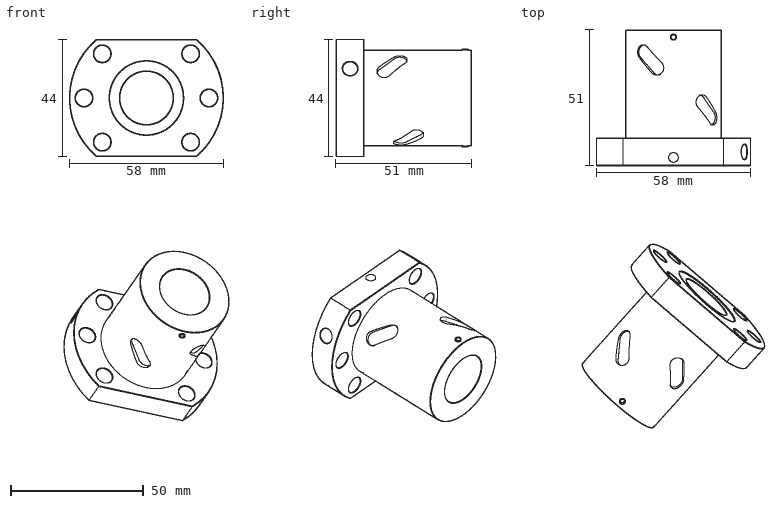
import cadquery as cq
import math


flange_diameter = 58.0
flange_height = 44.0
flange_thickness = 10.5
edge_chamfer = 0.205

total_length = 51.0
barrel_diameter = 36.0
bore_diameter = 20.0
recess_diameter = 27.7
recess_depth = 0.35

bolt_hole_diameter = 6.4
bolt_circle_radius = 23.5
bolt_angles = (-45, 0, 45, 135, 180, 225)

oil_port_diameter = 5.55
oil_port_angle = 22.5
oil_port_y = flange_thickness / 2
flat_port_diameter = 3.65
flat_port_depth = 5.8
flat_port_y = 3.15

slot_width = 5.5
slot_length = 13.75
slot_slant = 45.0
slot_floor_radius = 16.3
slot_angles = (120, 225, 300, 43.5)
first_slot_from_end = 11.2
slot_pitch = 6.25

pin_diameter = 2.25
pin_socket_diameter = 1.8
pin_socket_depth = 2.3
pin_length = 4.65
pin_projection = 0.45
pin_from_end = 2.6
pin_directions = (1, -1)

barrel_radius = barrel_diameter / 2
pin_y = total_length - pin_from_end
pin_top = barrel_radius + pin_projection
pin_bottom = pin_top - pin_length


def rod(diameter, start_y, end_y):
    """Cylinder on the axis of the nut."""
    base = cq.Vector(0, start_y, 0)
    return cq.Workplane(cq.Solid.makeCylinder(diameter / 2, end_y - start_y, base, cq.Vector(0, 1, 0)))


def countersunk_rod(diameter, start_y, end_y):
    """Cutter for a hole along Y with a chamfered rim at both ends."""
    cutter = rod(diameter, start_y, end_y)
    rim_radius = diameter / 2 + edge_chamfer
    for rim_y, inward in ((start_y, 1), (end_y, -1)):
        cone = cq.Solid.makeCone(
            rim_radius, diameter / 2, edge_chamfer, cq.Vector(0, rim_y, 0), cq.Vector(0, inward, 0)
        )
        cutter = cutter.union(cq.Workplane(cone))
    return cutter


def radial_plane(angle, y, radius):
    """Plane facing away from the axis, with its local x direction along the axis."""
    outward = cq.Vector(math.cos(math.radians(angle)), 0, math.sin(math.radians(angle)))
    return cq.Plane(origin=outward * radius + cq.Vector(0, y, 0), xDir=(0, 1, 0), normal=outward)


def make_blank():
    flats = cq.Workplane("XY").box(
        flange_diameter, flange_thickness, flange_height, centered=(True, False, True)
    )
    flange = rod(flange_diameter, 0, flange_thickness).intersect(flats)
    flange = flange.faces("<Y or >Y").chamfer(edge_chamfer)
    barrel = rod(barrel_diameter, 0, total_length).faces(">Y").chamfer(edge_chamfer)
    return flange.union(barrel)


def cut_bore(body):
    recess = rod(recess_diameter, 0, recess_depth)
    rim = cq.Solid.makeCone(
        recess_diameter / 2 + edge_chamfer, recess_diameter / 2, edge_chamfer,
        cq.Vector(0, 0, 0), cq.Vector(0, 1, 0),
    )
    bore = countersunk_rod(bore_diameter, recess_depth, total_length)
    return body.cut(recess).cut(cq.Workplane(rim)).cut(bore)


def cut_bolt_holes(body):
    cutter = countersunk_rod(bolt_hole_diameter, 0, flange_thickness)
    for angle in bolt_angles:
        x = bolt_circle_radius * math.cos(math.radians(angle))
        z = bolt_circle_radius * math.sin(math.radians(angle))
        body = body.cut(cutter.translate((x, 0, z)))
    return body


def cut_oil_ports(body):
    side_port = cq.Workplane(radial_plane(oil_port_angle, oil_port_y, 0)).circle(oil_port_diameter / 2)
    body = body.cut(side_port.extrude(flange_diameter))
    mouth = radial_plane(oil_port_angle, oil_port_y, flange_diameter / 2).origin.toTuple()
    body = body.edges(cq.selectors.NearestToPointSelector(mouth)).chamfer(edge_chamfer)
    flat_port = cq.Workplane(radial_plane(90, flat_port_y, flange_height / 2)).circle(flat_port_diameter / 2)
    return body.cut(flat_port.extrude(-flat_port_depth))


def cut_return_slots(body):
    for step, angle in enumerate(slot_angles):
        slot_y = total_length - first_slot_from_end - step * slot_pitch
        floor = radial_plane(angle, slot_y, slot_floor_radius)
        slot = cq.Workplane(floor).slot2D(slot_length, slot_width, slot_slant)
        body = body.cut(slot.extrude(barrel_radius))
    return body


def pin_cylinder(direction, diameter, bottom):
    """Vertical cylinder reaching from the given height out to the pin tip."""
    base = cq.Vector(0, pin_y, direction * bottom)
    return cq.Workplane(
        cq.Solid.makeCylinder(diameter / 2, pin_top - bottom, base, cq.Vector(0, 0, direction))
    )


def make_pin(direction):
    outside = pin_cylinder(direction, pin_diameter, pin_bottom)
    socket = pin_cylinder(direction, pin_socket_diameter, pin_top - pin_socket_depth)
    return outside.cut(socket)


def make_nut():
    body = cut_return_slots(cut_oil_ports(cut_bolt_holes(cut_bore(make_blank()))))
    for direction in pin_directions:
        body = body.cut(pin_cylinder(direction, pin_diameter, pin_bottom))
    return body


nut = make_nut()
pins = [make_pin(direction) for direction in pin_directions]

result = cq.Compound.makeCompound([nut.val(), *[pin.val() for pin in pins]])